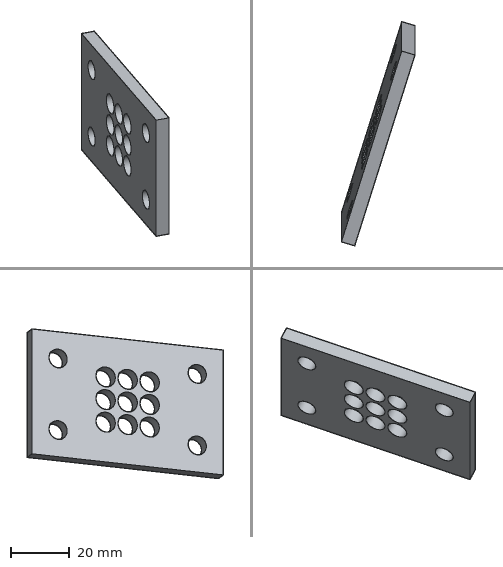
import cadquery as cq

length = 69.85
thickness = 4.75
height = 44.4

mount_diameter = 6.6
mount_spacing_x = 50.8
mount_spacing_z = 25.4
mount_count = 2

grid_diameter = 7.0
grid_pitch = 8.0
grid_count = 3

plate = cq.Workplane("XZ").rect(length, height).extrude(thickness / 2, both=True)


def drill_grid(body, pitch_x, pitch_z, count, diameter):
    """Cut a centred count x count grid of holes through the plate."""
    return (
        body.faces("<Y")
        .workplane(centerOption="CenterOfBoundBox")
        .rarray(pitch_x, pitch_z, count, count)
        .hole(diameter)
    )


drilled_corners = drill_grid(plate, mount_spacing_x, mount_spacing_z, mount_count, mount_diameter)
result = drill_grid(drilled_corners, grid_pitch, grid_pitch, grid_count, grid_diameter)